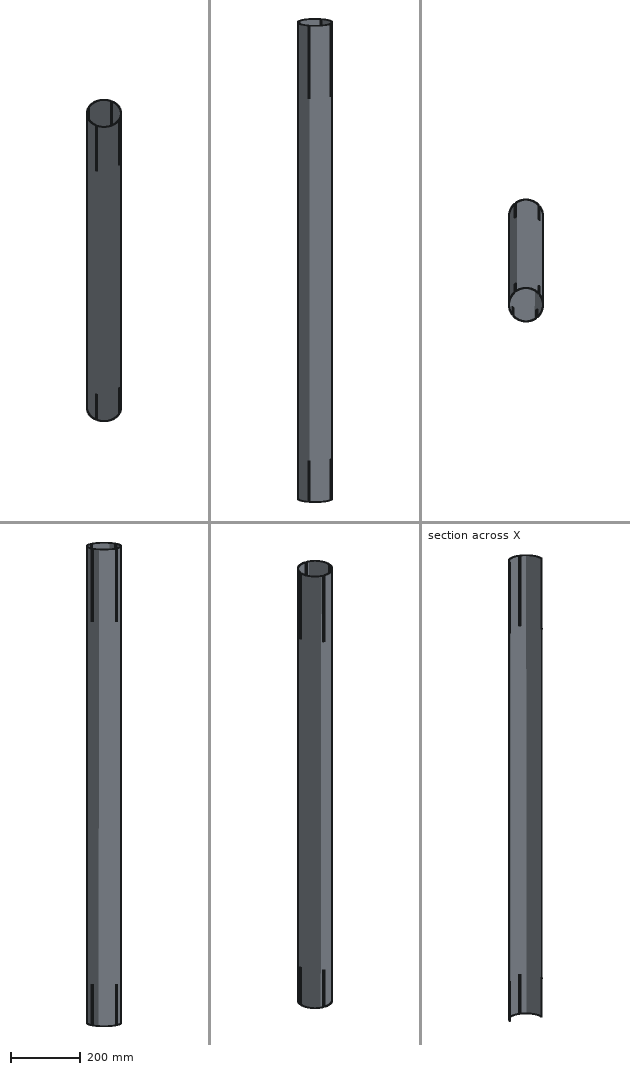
import cadquery as cq

tube_length = 1410.0
outer_diameter = 100.0
inner_diameter = 97.0

slot_width = 5.0
top_slot_length = 215.0
bottom_slot_length = 120.0


def make_tube():
    return (
        cq.Workplane("XY")
        .circle(outer_diameter / 2)
        .circle(inner_diameter / 2)
        .extrude(tube_length)
    )


def cross_cutter(bottom_z, length):
    """Two crossed blades that cut four slots, one on each side of the tube."""
    blade_along_x = (
        cq.Workplane("XY", origin=(0, 0, bottom_z))
        .rect(outer_diameter, slot_width)
        .extrude(length)
    )
    blade_along_y = blade_along_x.rotate((0, 0, 0), (0, 0, 1), 90)
    return blade_along_x.union(blade_along_y)


top_slots = cross_cutter(tube_length - top_slot_length, top_slot_length)
bottom_slots = cross_cutter(0, bottom_slot_length)

result = make_tube().cut(top_slots).cut(bottom_slots)